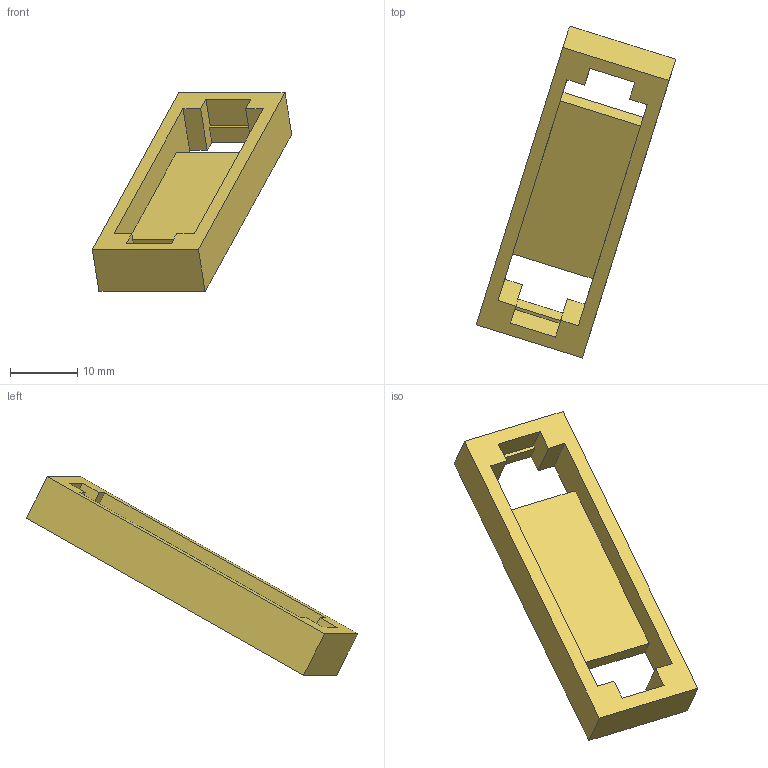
import cadquery as cq

frame_width = 16.5
frame_length = 49.0
frame_height = 7.0

side_wall = 2.0
window_width = frame_width - 2 * side_wall
window_length = 39.0
notch_width = 7.0
notch_depth = 3.0
notched_length = window_length + 2 * notch_depth

ledge_depth = 4.5
ledge_projection = 0.5
lower_notched_length = notched_length - 2 * ledge_projection

slab_length = 27.0
slab_thickness = 2.8

tilt_angle = 28.4
yaw_angle = -17.34


def block(width, length, top, bottom):
    """Box centred on the frame's Z axis, reaching from bottom to top."""
    height = top - bottom
    return cq.Workplane("XY").box(width, length, height).translate((0, 0, (top + bottom) / 2))


def make_window():
    """Volume removed by the window and its stepped end notches."""
    opening = block(window_width, window_length, 0, -frame_height)
    upper_notches = block(notch_width, notched_length, 0, -ledge_depth)
    lower_notches = block(notch_width, lower_notched_length, 0, -frame_height)
    return opening.union(upper_notches).union(lower_notches)


def make_slab():
    """Floor slab spanning the window between the side walls."""
    return block(window_width, slab_length, slab_thickness - frame_height, -frame_height)


def orient(body):
    """Centre the body on the origin, then tilt and turn it."""
    centred = body.translate((0, 0, frame_height / 2))
    tilted = centred.rotate((0, 0, 0), (1, 0, 0), tilt_angle)
    return tilted.rotate((0, 0, 0), (0, 0, 1), yaw_angle)


frame = block(frame_width, frame_length, 0, -frame_height).cut(make_window())
result = orient(frame.union(make_slab()))